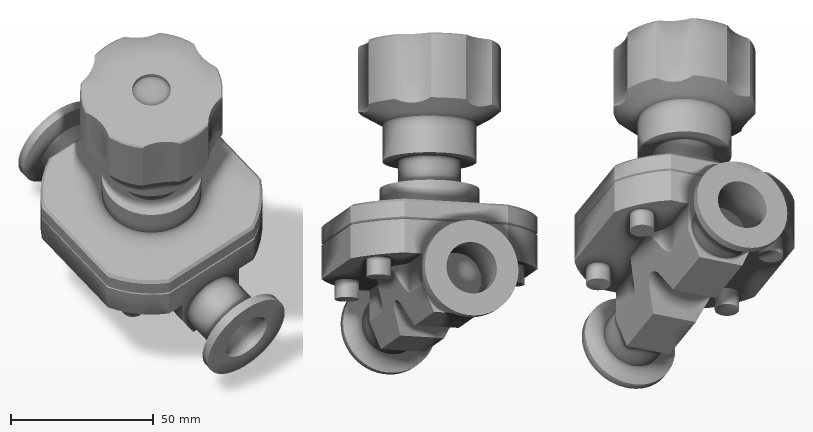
import cadquery as cq
import math


length = 108.0
pipe_diameter = 21.7
bore_diameter = 18.4
ferrule_diameter = 34.0
ferrule_rim = 3.2
ferrule_length = 5.4

plate_width = 68.0
plate_corner_radius = 38.9
flange_bottom = 8.3
flange_top = 20.3
bonnet_top = 27.8
bonnet_top_chamfer = 1.0
bonnet_seam_chamfer = 0.9

body_bottom = -12.3
relief_bottom = -2.6
relief_half_width = 12.2
wall_slope = 0.43
relief_flat_end = 18.6
relief_arc_radius = 9.6
relief_arc_end = 12.1
weir_half_length = 8.7

notch_top = -1.7
notch_half_width = 9.3
notch_flank_angle = 60.0

bolt_diameter = 8.5
bolt_bottom = 1.9
bolt_x = 20.5
bolt_y = 24.3

neck_diameter = 35.0
neck_top = 38.5
spindle_diameter = 22.0
spindle_top = 48.5
hub_diameter = 33.0
hub_top = 61.6
wheel_diameter = 49.9
wheel_bottom = 66.4
wheel_top = 89.6
wheel_chamfer = 0.5
scallop_count = 6
scallop_radius = 16.0
scallop_floor = 22.7
recess_diameter = 13.5
recess_depth = 1.6

half_plate = plate_width / 2
top_half_width = relief_half_width + wall_slope * (flange_bottom - relief_bottom)
bottom_half_width = relief_half_width - wall_slope * (relief_bottom - body_bottom)


def disc(diameter, bottom, top):
    """Cylinder on the spindle axis."""
    return cq.Workplane("XY").workplane(offset=bottom).circle(diameter / 2).extrude(top - bottom)


def plate(bottom, top):
    """Square plate whose corners are arcs about the spindle axis."""
    square = cq.Workplane("XY").workplane(offset=bottom).rect(plate_width, plate_width).extrude(top - bottom)
    return square.intersect(disc(2 * plate_corner_radius, bottom, top))


def make_bonnet():
    """Plate chamfered at the top and at the seam, where it leaves a groove above the flange."""
    bonnet = plate(flange_top, bonnet_top)
    return bonnet.faces(">Z").chamfer(bonnet_top_chamfer).faces("<Z").chamfer(bonnet_seam_chamfer)


def make_pipe():
    """Pipe from end to end with a clamp ferrule at each end, still without the bores."""
    end = length / 2
    pipe_radius = pipe_diameter / 2
    ferrule_radius = ferrule_diameter / 2
    profile = [
        (-end, 0),
        (-end, ferrule_radius),
        (-end + ferrule_rim, ferrule_radius),
        (-end + ferrule_length, pipe_radius),
        (end - ferrule_length, pipe_radius),
        (end - ferrule_rim, ferrule_radius),
        (end, ferrule_radius),
        (end, 0),
    ]
    return cq.Workplane("XY").polyline(profile).close().revolve(360, (0, 0, 0), (1, 0, 0))


def make_bores():
    """Blind bores from both pipe ends to the body end faces."""
    bores = cq.Workplane("YZ").workplane(offset=-length / 2).circle(bore_diameter / 2).extrude(length)
    core = cq.Workplane("XY").box(plate_width, plate_width, plate_width)
    return bores.cut(core)


def make_relief_plan():
    """Prism whose plan outline narrows the upper body on both sides of the weir."""
    arc_y = relief_half_width + relief_arc_radius

    def arc_point(x):
        reach = relief_flat_end - x
        return (x, arc_y - math.sqrt(relief_arc_radius**2 - reach**2))

    arc_middle = arc_point((relief_flat_end + relief_arc_end) / 2)
    half = (
        cq.Workplane("XY")
        .workplane(offset=body_bottom)
        .moveTo(0, 0)
        .lineTo(half_plate, 0)
        .lineTo(half_plate, relief_half_width)
        .lineTo(relief_flat_end, relief_half_width)
        .threePointArc(arc_middle, arc_point(relief_arc_end))
        .lineTo(weir_half_length, top_half_width)
        .lineTo(0, top_half_width)
        .close()
        .extrude(flange_bottom - body_bottom)
    )
    side = half.union(half.mirror("YZ"))
    return side.union(side.mirror("XZ"))


def make_notch():
    """Prism along Y with an arc top that is tangent to both sloping flanks."""
    angle = math.radians(notch_flank_angle)
    height = notch_top - body_bottom
    radius = (notch_half_width * math.sin(angle) - height * math.cos(angle)) / (1 - math.cos(angle))
    tangent_x = radius * math.sin(angle)
    tangent_z = notch_top - radius + radius * math.cos(angle)
    return (
        cq.Workplane("XZ")
        .moveTo(-notch_half_width, body_bottom)
        .lineTo(-tangent_x, tangent_z)
        .threePointArc((0, notch_top), (tangent_x, tangent_z))
        .lineTo(notch_half_width, body_bottom)
        .close()
        .extrude(half_plate, both=True)
    )


def make_lower_body():
    """Body below the flange, with leaning walls and side reliefs, still without the notch."""
    section = [
        (-bottom_half_width, body_bottom),
        (bottom_half_width, body_bottom),
        (top_half_width, flange_bottom),
        (-top_half_width, flange_bottom),
    ]
    body = cq.Workplane("YZ").polyline(section).close().extrude(half_plate, both=True)
    return body.intersect(make_relief_plan())


def make_bolts():
    """Four bolt ends that stick out below the flange."""
    return (
        cq.Workplane("XY")
        .workplane(offset=bolt_bottom)
        .rect(2 * bolt_x, 2 * bolt_y, forConstruction=True)
        .vertices()
        .circle(bolt_diameter / 2)
        .extrude(flange_bottom - bolt_bottom)
    )


def make_handwheel():
    """Hub, cone and scalloped grip with a shallow recess in the top."""
    wheel_radius = wheel_diameter / 2
    profile = [
        (0, spindle_top),
        (hub_diameter / 2, spindle_top),
        (hub_diameter / 2, hub_top),
        (wheel_radius, wheel_bottom),
        (wheel_radius, wheel_top - wheel_chamfer),
        (wheel_radius - wheel_chamfer, wheel_top),
        (0, wheel_top),
    ]
    wheel = cq.Workplane("XZ").polyline(profile).close().revolve(360, (0, 0, 0), (0, 1, 0))
    scallops = (
        cq.Workplane("XY")
        .workplane(offset=hub_top)
        .polarArray(scallop_floor + scallop_radius, 90, 360, scallop_count)
        .circle(scallop_radius)
        .extrude(wheel_top - hub_top)
    )
    recess = disc(recess_diameter, wheel_top - recess_depth, wheel_top)
    return wheel.cut(scallops).cut(recess)


result = (
    plate(flange_bottom, flange_top)
    .union(make_bonnet())
    .union(make_pipe())
    .union(make_lower_body())
    .cut(make_notch())
    .cut(make_bores())
    .union(make_bolts())
    .union(disc(neck_diameter, bonnet_top, neck_top))
    .union(disc(spindle_diameter, neck_top, spindle_top))
    .union(make_handwheel())
)